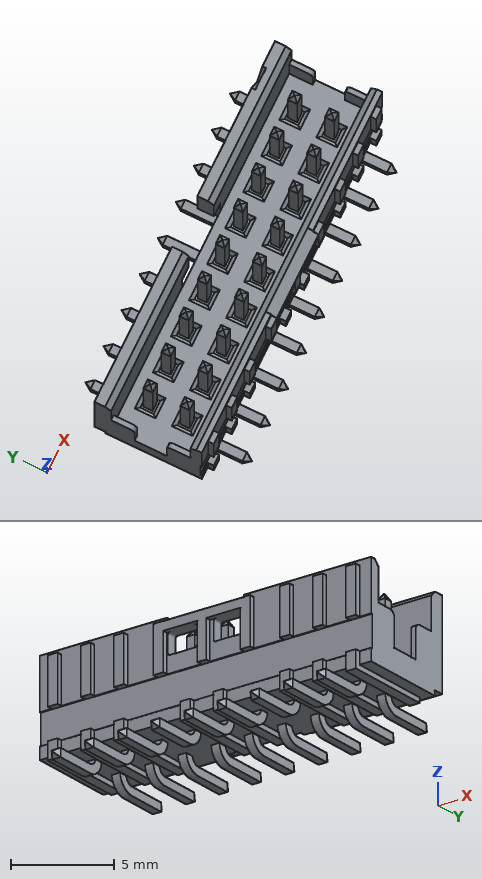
import cadquery as cq
import math

length = 20.0
height = 6.45
pitch = 2.0
contacts_per_row = 9

back_outer_y = 3.05
back_inner_y = 2.15
front_inner_y = -2.15
front_outer_y = -2.75
floor_z = 2.28
underside_z = 0.9
rim_chamfer = 0.32
rim_crest_y = front_inner_y - rim_chamfer
back_step_y = 2.45
back_step_z = 1.2

end_wall_thickness = 0.28
end_wall_z = 4.22
end_notch_width = 1.75
end_notch_radius = 0.35

slot_width = 2.8
slot_foot_width = 4.25
slot_foot_z = 3.85

mark_x = 8.0
mark_width = 1.2
mark_height = mark_width * math.sin(math.radians(60))
mark_depth = 0.2

rib_width = 0.6
rib_outer_y = -3.05
rib_top_z = 6.15
band_top_z = 3.45
band_bottom_z = 1.62
band_depth = 0.08
rib_positions = [-4.5, -3.5, -2.5, 2.5, 3.5, 4.5]
foot_positions = [-4.5, -3.5, -2.5, -0.5, 0.5, 2.5, 3.5, 4.5]
foot_bottom_z = 0.6

frame_width = 5.85
frame_opening_width = 4.65
frame_post_width = 0.55
window_top_z = 5.65
window_bottom_z = 4.42
window_inner_x = 0.5
window_outer_x = 2.25
window_radius = 0.12

pin_size = 0.5
pin_top_z = 6.35
pin_tip_length = 0.4
leg_end_y = 4.5
bend_outer_radius = 0.95
pit_top_size = 1.12
pit_bottom_size = 0.72
pit_depth = 0.2


def block(x_range, y_range, z_range):
    """Axis-aligned box between pairs of limits."""
    lows, highs = zip(*(sorted(limits) for limits in (x_range, y_range, z_range)))
    sizes = [high - low for low, high in zip(lows, highs)]
    return cq.Workplane("XY").box(*sizes, centered=False).translate(lows)


def centred(width, middle=0.0):
    return (middle - width / 2, middle + width / 2)


def extrude_along_x(points, width):
    """Extrude a closed (Y, Z) outline symmetrically about X = 0."""
    return cq.Workplane("YZ").polyline(points).close().extrude(width / 2, both=True)


def trough():
    """U-shaped section with chamfered inner rims and a raised rear underside."""
    return extrude_along_x(
        [
            (front_outer_y, underside_z),
            (back_step_y, underside_z),
            (back_step_y, back_step_z),
            (back_outer_y, back_step_z),
            (back_outer_y, height),
            (back_inner_y + rim_chamfer, height),
            (back_inner_y, height - rim_chamfer),
            (back_inner_y, floor_z),
            (front_inner_y, floor_z),
            (front_inner_y, height - rim_chamfer),
            (rim_crest_y, height),
            (front_outer_y, height),
        ],
        length,
    )


def end_wall(side):
    """Low end wall: two shoulders, rounded above the notch between them."""
    shoulder = block(
        (side * (length / 2 - end_wall_thickness), side * length / 2),
        (end_notch_width / 2, back_inner_y),
        (floor_z, end_wall_z),
    )
    shoulder = shoulder.edges("|X").edges(">Z").edges("<Y").fillet(end_notch_radius)
    return shoulder.union(shoulder.mirror("XZ"))


def polarising_slot():
    """Slot through the back wall, wider in its lower part."""
    wall_y = (back_inner_y, back_outer_y)
    upper = block(centred(slot_width), wall_y, (underside_z, height))
    lower = block(centred(slot_foot_width), wall_y, (underside_z, slot_foot_z))
    return upper.union(lower)


def contact_one_mark():
    """Triangular recess pointing down from the rim of the back wall."""
    outline = [
        (mark_x - mark_width / 2, height),
        (mark_x + mark_width / 2, height),
        (mark_x, height - mark_height),
    ]
    return (
        cq.Workplane("XZ", origin=(0, back_outer_y, 0))
        .polyline(outline).close().extrude(mark_depth)
    )


def front_band():
    return block(
        centred(length),
        (front_outer_y, front_outer_y + band_depth),
        (band_bottom_z, band_top_z),
    )


def front_rib(x):
    return block(centred(rib_width, x), (front_outer_y, rib_outer_y), (band_top_z, rib_top_z))


def foot(x):
    """Stand-off bar under the housing, turned up over the front wall."""
    bar = block(centred(rib_width, x), (rib_outer_y, back_inner_y), (foot_bottom_z, underside_z))
    toe = block(centred(rib_width, x), (rib_outer_y, front_outer_y), (foot_bottom_z, band_bottom_z))
    return bar.union(toe)


def latch_frame():
    """Raised frame with two openings separated by a post."""
    relief_y = (front_outer_y, rib_outer_y)
    frame = block(centred(frame_width), relief_y, (band_top_z, rib_top_z))
    opening = block(centred(frame_opening_width), relief_y, (band_top_z, window_top_z))
    post = block(centred(frame_post_width), relief_y, (band_top_z, window_top_z))
    return frame.cut(opening).union(post)


def lead_in():
    """Wedge sloping down from the rim crest to the outer face of the latch frame."""
    return extrude_along_x(
        [(rim_crest_y, rib_top_z), (rib_outer_y, rib_top_z), (rim_crest_y, height)],
        frame_opening_width,
    )


def lead_in_clearance():
    """Part of the front rim that the lead-in replaces."""
    return block(centred(frame_opening_width), (rim_crest_y, front_outer_y), (rib_top_z, height))


def window(side):
    opening = block(
        (side * window_inner_x, side * window_outer_x),
        (front_outer_y, front_inner_y),
        (window_bottom_z, window_top_z),
    )
    return opening.edges("|Y").fillet(window_radius)


def pit(x, y):
    """Tapered recess in the floor around one contact."""
    return (
        cq.Workplane("XY", origin=(x, y, floor_z))
        .rect(pit_top_size, pit_top_size)
        .workplane(offset=-pit_depth)
        .rect(pit_bottom_size, pit_bottom_size)
        .loft(ruled=True)
    )


def point(plane):
    """Pyramid tip built on the given plane."""
    half = pin_size / 2
    apex = plane.toWorldCoords((0, 0, pin_tip_length))
    base = [
        plane.toWorldCoords(corner)
        for corner in [(-half, -half, 0), (half, -half, 0), (half, half, 0), (-half, half, 0)]
    ]
    faces = [cq.Face.makeFromWires(cq.Wire.makePolygon(base, close=True))]
    for start, end in zip(base, base[1:] + base[:1]):
        faces.append(cq.Face.makeFromWires(cq.Wire.makePolygon([start, end, apex], close=True)))
    return cq.Workplane(obj=cq.Solid.makeSolid(cq.Shell.makeShell(faces)))


def contact():
    """Square contact of the rear row at X = 0: upright pin, bend and leg."""
    middle_y = pitch / 2
    inner_y = middle_y - pin_size / 2
    outer_y = middle_y + pin_size / 2
    shoulder_z = pin_top_z - pin_tip_length
    leg_shoulder_y = leg_end_y - pin_tip_length
    bend_y = inner_y + bend_outer_radius
    bend_z = bend_outer_radius
    bend_inner_radius = bend_outer_radius - pin_size
    diagonal = math.sqrt(0.5)
    shank = (
        cq.Workplane("YZ")
        .moveTo(inner_y, shoulder_z)
        .lineTo(inner_y, bend_z)
        .threePointArc(
            (bend_y - bend_outer_radius * diagonal, bend_z - bend_outer_radius * diagonal),
            (bend_y, 0),
        )
        .lineTo(leg_shoulder_y, 0)
        .lineTo(leg_shoulder_y, pin_size)
        .lineTo(bend_y, pin_size)
        .threePointArc(
            (bend_y - bend_inner_radius * diagonal, bend_z - bend_inner_radius * diagonal),
            (outer_y, bend_z),
        )
        .lineTo(outer_y, shoulder_z)
        .close()
        .extrude(pin_size / 2, both=True)
    )
    pin_tip = point(cq.Plane((0, middle_y, shoulder_z), (1, 0, 0), (0, 0, 1)))
    leg_tip = point(cq.Plane((0, leg_shoulder_y, pin_size / 2), (1, 0, 0), (0, 1, 0)))
    return shank.union(pin_tip).union(leg_tip)


contact_xs = [pitch * (i - (contacts_per_row - 1) / 2) for i in range(contacts_per_row)]

housing = trough().cut(polarising_slot()).cut(contact_one_mark()).cut(front_band())
housing = housing.cut(lead_in_clearance()).union(latch_frame()).union(lead_in())
for side in (-1, 1):
    housing = housing.union(end_wall(side)).cut(window(side))
for position in rib_positions:
    housing = housing.union(front_rib(position * pitch))
for position in foot_positions:
    housing = housing.union(foot(position * pitch))

rear_contact = contact()
front_contact = rear_contact.rotate((0, 0, 0), (0, 0, 1), 180)
for x in contact_xs:
    for y in (-pitch / 2, pitch / 2):
        housing = housing.cut(pit(x, y))
    for single in (rear_contact, front_contact):
        housing = housing.union(single.translate((x, 0, 0)))

result = housing